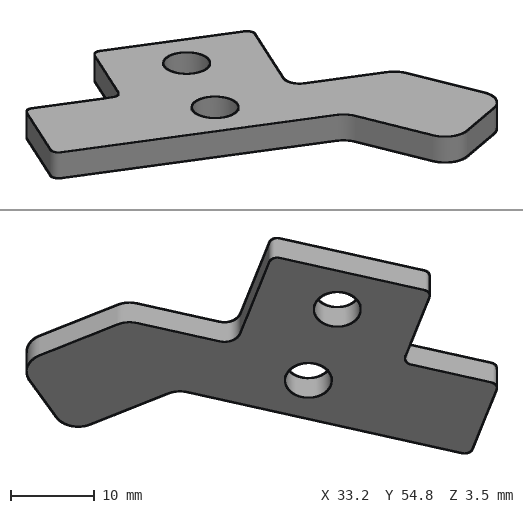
import cadquery as cq
import math

thickness = 3.5
body_width = 24.0
body_bottom = 12.0
body_top = 32.0
leg_left = 12.0
arm_left = 15.0

head_right = 33.24
head_top = 54.81

body_radius = 1.0
arm_root_radius = 2.0
bend_radius = 3.0
head_radius = 3.0

hole_diameter = 5.6
hole_spacing = 12.0
hole_y = (body_bottom + body_top) / 2

corner_overshoot = head_radius * (math.sqrt(2) - 1)
top_corner_y = head_top + corner_overshoot
right_corner_x = head_right + corner_overshoot

arm_width = body_width - arm_left
head_edge_spacing = 2 * arm_width
left_edge_offset = top_corner_y - right_corner_x + head_edge_spacing / 2
right_edge_offset = left_edge_offset - head_edge_spacing
left_bend_y = arm_left + left_edge_offset
right_bend_y = body_width + right_edge_offset
head_top_corner = (top_corner_y - left_edge_offset, top_corner_y)
head_right_corner = (right_corner_x, right_corner_x + right_edge_offset)

corners = [
    ((leg_left, 0), body_radius),
    ((body_width, 0), body_radius),
    ((body_width, right_bend_y), bend_radius),
    (head_right_corner, head_radius),
    (head_top_corner, head_radius),
    ((arm_left, left_bend_y), bend_radius),
    ((arm_left, body_top), arm_root_radius),
    ((0, body_top), body_radius),
    ((0, body_bottom), body_radius),
    ((leg_left, body_bottom), body_radius),
]


def make_plate():
    plate = cq.Workplane("XY").polyline([point for point, _ in corners]).close().extrude(thickness)
    for (x, y), radius in corners:
        corner_edge = cq.selectors.NearestToPointSelector((x, y, thickness / 2))
        plate = plate.edges("|Z").edges(corner_edge).fillet(radius)
    return plate


def drill_mounting_holes(plate):
    first_x = (body_width - hole_spacing) / 2
    centres = [(first_x, hole_y), (first_x + hole_spacing, hole_y)]
    holes = cq.Workplane("XY").pushPoints(centres).circle(hole_diameter / 2).extrude(thickness)
    return plate.cut(holes)


result = drill_mounting_holes(make_plate())